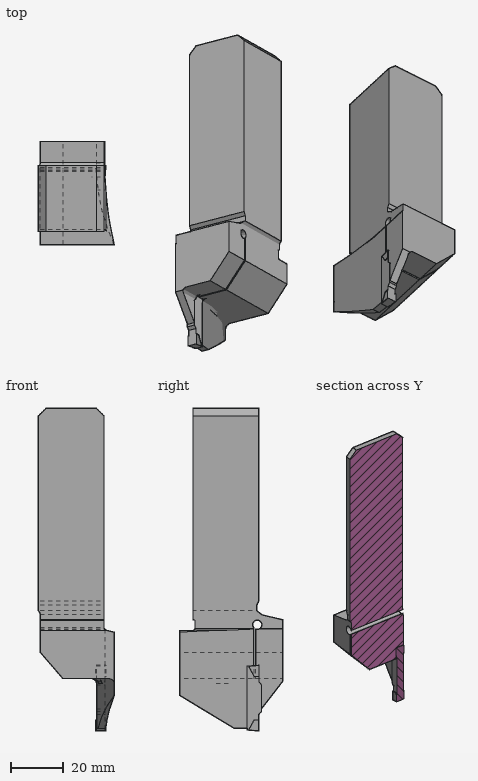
import cadquery as cq
import math

margin = 10.0
selection_gap = 0.1

shank_size = 25.0
overall_height = 122.11
shank_end_chamfer = 3.0
relief_depth = 0.75

head_front = -5.0
head_length_y = 39.1
head_back = head_front + head_length_y
head_left = relief_depth
head_right = 28.83
head_bottom = 19.8
corner_cut_width = 8.6
corner_cut_height = 10.0
left_step_top = 45.5
left_step_height = 1.5
right_slope_inner_z = 38.2
right_slope_outer_z = 37.4
right_slope_bevel = 0.6

back_relief_top = 49.1
back_relief_bottom = left_step_top
back_shoulder_y = 26.2
back_shoulder_z = 44.0
back_top_z = 42.1
front_notch_top = 42.1
front_notch_bottom = 38.1
front_notch_fillet = 0.65
front_notch_rise = 0.2

edge_y = shank_size
seat_front = 20.6
seat_back = 26.0
insert_length = 24.9
insert_left = 22.05
insert_width = 3.3
insert_middle_x = insert_left + insert_width / 2
neck_start = 6.3
neck_end = 7.4
edge_clearance = 0.35

tip_width = 4.0
tip_height = 4.2
tip_shoulder_y = 23.2
tip_heel_y = 21.1
tip_corner_radius = 0.3

blade_left_radius = 70.0
blade_right_x = 25.25
blade_root_fillet = 1.9
blade_lowest = 1.0
blade_heel_y = 15.65
blade_front_z = 13.5
jaw_lowest = 8.4
jaw_back_z = 18.9

slit_hole_y = 24.4
slit_hole_z = 40.2
slit_hole_diameter = 3.4
slit_front = 23.1
slit_width = 0.65


def arc_radius(rise, run):
    """Radius of an arc that leaves its tangent by `rise` over the distance `run`."""
    return (rise ** 2 + run ** 2) / (2 * rise)


def blade_face_tool(tangent_x, radius):
    """Everything on the +X side of a blade face: straight behind the edge, an arc in front of it."""
    front_y = head_front - margin
    back_y = head_back + margin
    far_x = head_right + 2 * margin

    def arc_point(y):
        return (tangent_x + radius - math.sqrt(radius ** 2 - (edge_y - y) ** 2), y)

    return (
        cq.Workplane("XY")
        .moveTo(tangent_x, back_y)
        .lineTo(tangent_x, edge_y)
        .threePointArc(arc_point((edge_y + front_y) / 2), arc_point(front_y))
        .lineTo(far_x, front_y)
        .lineTo(far_x, back_y)
        .close()
        .extrude(overall_height)
    )


def make_space_below_head():
    """Block from Z = 0 up to the underside of the head, wider than every part of the tool."""
    width = head_right + 3 * margin
    length = head_length_y + 2 * margin
    corner = (-margin, head_front - margin, 0)
    return cq.Workplane("XY").box(width, length, head_bottom, centered=False).translate(corner)


def make_head_and_blade():
    """Head block with the blade hanging below it, before the side outline is trimmed."""
    far_x = head_right + 2 * margin
    step_radius = arc_radius(head_left, left_step_height)
    head = (
        cq.Workplane("XZ", origin=(0, head_back + margin, 0))
        .moveTo(head_left, head_bottom + corner_cut_height)
        .lineTo(head_left + corner_cut_width, head_bottom)
        .lineTo(far_x, head_bottom)
        .lineTo(far_x, left_step_top)
        .lineTo(0, left_step_top)
        .radiusArc((head_left, left_step_top - left_step_height), step_radius)
        .close()
        .extrude(head_length_y + 2 * margin)
    )
    blade = blade_face_tool(insert_left, blade_left_radius).intersect(make_space_below_head())
    block = head.union(blade)
    root = cq.selectors.BoxSelector(
        (insert_left - selection_gap, head_front - margin, head_bottom - selection_gap),
        (far_x - selection_gap, head_back + margin, head_bottom + selection_gap),
    )
    block = block.edges(root).fillet(blade_root_fillet)

    right_radius = arc_radius(head_right - blade_right_x, edge_y - head_front)
    return block.cut(blade_face_tool(blade_right_x, right_radius))


def make_side_outline():
    """Outline of the head, jaw and blade in the YZ plane."""
    return (
        cq.Workplane("YZ")
        .moveTo(head_front, front_notch_bottom)
        .lineTo(relief_depth - front_notch_fillet, front_notch_bottom)
        .radiusArc((relief_depth, front_notch_bottom + front_notch_fillet), -front_notch_fillet)
        .lineTo(relief_depth, front_notch_top - front_notch_rise)
        .lineTo(0, front_notch_top)
        .lineTo(0, back_relief_bottom)
        .lineTo(edge_y - relief_depth, back_relief_bottom)
        .lineTo(back_shoulder_y, back_shoulder_z)
        .lineTo(head_back, back_top_z)
        .lineTo(head_back, jaw_back_z)
        .lineTo(seat_back, jaw_lowest)
        .lineTo(seat_front, blade_lowest)
        .lineTo(blade_heel_y, blade_lowest)
        .lineTo(head_front, blade_front_z)
        .close()
        .extrude(head_right)
    )


def make_right_slope_cut():
    """Removes the head above its sloping shoulder on the +X side."""
    return (
        cq.Workplane("XZ", origin=(0, head_back, 0))
        .moveTo(shank_size, right_slope_inner_z + right_slope_bevel)
        .lineTo(shank_size + right_slope_bevel, right_slope_inner_z)
        .lineTo(head_right, right_slope_outer_z)
        .lineTo(head_right, left_step_top)
        .lineTo(shank_size, left_step_top)
        .close()
        .extrude(head_length_y)
    )


def make_shank():
    """Square shank with a chamfered end and a relief at the foot of its back face."""
    shank = (
        cq.Workplane("XY", origin=(0, 0, left_step_top))
        .rect(shank_size, shank_size)
        .extrude(overall_height - left_step_top)
        .translate((shank_size / 2, shank_size / 2, 0))
        .faces(">Z").edges("|Y").chamfer(shank_end_chamfer)
    )
    relief = (
        cq.Workplane("YZ")
        .moveTo(shank_size, back_relief_top)
        .lineTo(shank_size - relief_depth, back_relief_top - 2 * relief_depth)
        .lineTo(shank_size - relief_depth, left_step_top)
        .lineTo(shank_size, left_step_top)
        .close()
        .extrude(shank_size)
    )
    return shank.cut(relief)


def make_slit():
    """Slit through the head that lets the jaw flex, ending in a round hole."""
    slit = (
        cq.Workplane("XY")
        .box(head_right, slit_width, slit_hole_z - head_bottom + blade_root_fillet, centered=False)
        .translate((0, slit_front, head_bottom - blade_root_fillet))
    )
    hole = (
        cq.Workplane("YZ")
        .center(slit_hole_y, slit_hole_z)
        .circle(slit_hole_diameter / 2)
        .extrude(head_right)
    )
    return slit.union(hole)


def make_insert_outline(left, right):
    """Side outline of the double-ended insert, extruded from X = left to X = right."""
    return (
        cq.Workplane("YZ", origin=(left, 0, 0))
        .moveTo(edge_y, 0)
        .lineTo(edge_y, neck_start)
        .lineTo(seat_back, neck_end)
        .lineTo(seat_back, insert_length - neck_end)
        .lineTo(edge_y, insert_length - neck_start)
        .lineTo(edge_y, insert_length)
        .lineTo(seat_front, insert_length - edge_clearance)
        .lineTo(seat_front, edge_clearance)
        .close()
        .extrude(right - left)
    )


def make_insert_tip():
    """Wide cutting tip at Z = 0; its sides taper from the edge to the insert body."""
    side = (
        cq.Workplane("YZ", origin=(insert_middle_x - tip_width / 2, 0, 0))
        .moveTo(edge_y, 0)
        .lineTo(edge_y, tip_height)
        .lineTo(tip_shoulder_y, tip_height)
        .lineTo(tip_heel_y, edge_clearance)
        .close()
        .extrude(tip_width)
    )
    taper = (
        cq.Workplane("XY")
        .moveTo(insert_middle_x - tip_width / 2, edge_y)
        .lineTo(insert_middle_x + tip_width / 2, edge_y)
        .lineTo(insert_left + insert_width, seat_front)
        .lineTo(insert_left, seat_front)
        .close()
        .extrude(tip_height)
    )
    lower_corners = cq.selectors.BoxSelector(
        (insert_left - tip_width, tip_heel_y, 0),
        (insert_left + 2 * tip_width, edge_y - selection_gap, edge_clearance),
    )
    return side.intersect(taper).edges(lower_corners).fillet(tip_corner_radius)


def make_insert():
    """Double-ended cutting insert."""
    lower_tip = make_insert_tip()
    upper_tip = lower_tip.mirror("XY").translate((0, 0, insert_length))
    body = make_insert_outline(insert_left, insert_left + insert_width)
    return body.union(lower_tip).union(upper_tip)


def make_holder(insert):
    """Shank, head and blade in one piece, with the slit and the insert seat cut out."""
    holder = make_head_and_blade().intersect(make_side_outline())
    holder = holder.cut(make_right_slope_cut())
    holder = holder.union(make_shank())
    seat_mouth = make_insert_outline(0, head_right).intersect(make_space_below_head())
    return holder.cut(make_slit()).cut(seat_mouth).cut(insert)


insert = make_insert()
holder = make_holder(insert)
result = cq.Compound.makeCompound([holder.val(), insert.val()])